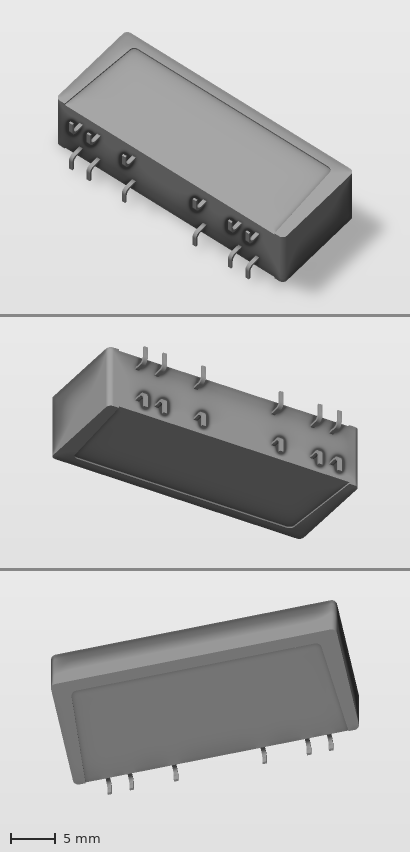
import cadquery as cq

body_length = 32.8
overall_depth = 14.6
overall_height = 8.0

pin_reach = 1.9
body_depth = overall_depth - pin_reach
pin_overhang = 0.082
body_height = overall_height - 2 * pin_overhang
corner_radius = 0.62

recess_margin = 1.3
recess_back_inset = 2.1
recess_depth = 0.2
recess_corner_radius = 0.65

pin_offsets = (5.1, 10.17, 12.7)
pin_width = 0.5
pin_thickness = 0.25
pin_leg_height = 2.07
pin_bend_radius = 0.7
root_embed = 0.33

front_y = -body_depth / 2
pin_tip_y = front_y - pin_reach
pin_tip_z = overall_height / 2


def make_body():
    block = cq.Workplane("XY").box(body_length, body_depth, body_height)
    return block.edges("|Z").fillet(corner_radius)


def make_top_recess():
    front_half_width = body_length / 2 - recess_margin
    back_half_width = body_length / 2 - recess_back_inset
    back_y = body_depth / 2 - recess_margin
    outline = [
        (-front_half_width, front_y),
        (front_half_width, front_y),
        (back_half_width, back_y),
        (-back_half_width, back_y),
    ]
    pocket = (
        cq.Workplane("XY", origin=(0, 0, body_height / 2 - recess_depth))
        .polyline(outline)
        .close()
        .extrude(recess_depth)
    )
    return pocket.edges("|Z and >Y").fillet(recess_corner_radius)


def make_upper_pin(center_x):
    """L-shaped pin leaving the front face and turning upward."""
    root_y = front_y + root_embed
    outer_z = pin_tip_z - pin_leg_height
    inner_y = pin_tip_y + pin_thickness
    inner_z = outer_z + pin_thickness
    outline = [
        (root_y, outer_z),
        (pin_tip_y, outer_z),
        (pin_tip_y, pin_tip_z),
        (inner_y, pin_tip_z),
        (inner_y, inner_z),
        (root_y, inner_z),
    ]
    strip = (
        cq.Workplane("YZ", origin=(center_x, 0, 0))
        .polyline(outline)
        .close()
        .extrude(pin_width / 2, both=True)
    )
    outer_bend = cq.selectors.NearestToPointSelector((center_x, pin_tip_y, outer_z))
    inner_bend = cq.selectors.NearestToPointSelector((center_x, inner_y, inner_z))
    rounded = strip.edges(outer_bend).fillet(pin_bend_radius)
    return rounded.edges(inner_bend).fillet(pin_bend_radius)


top_recess = make_top_recess()
result = make_body().cut(top_recess).cut(top_recess.mirror("XY"))

for offset in pin_offsets:
    for center_x in (-offset, offset):
        upper_pin = make_upper_pin(center_x)
        result = result.union(upper_pin).union(upper_pin.mirror("XY"))